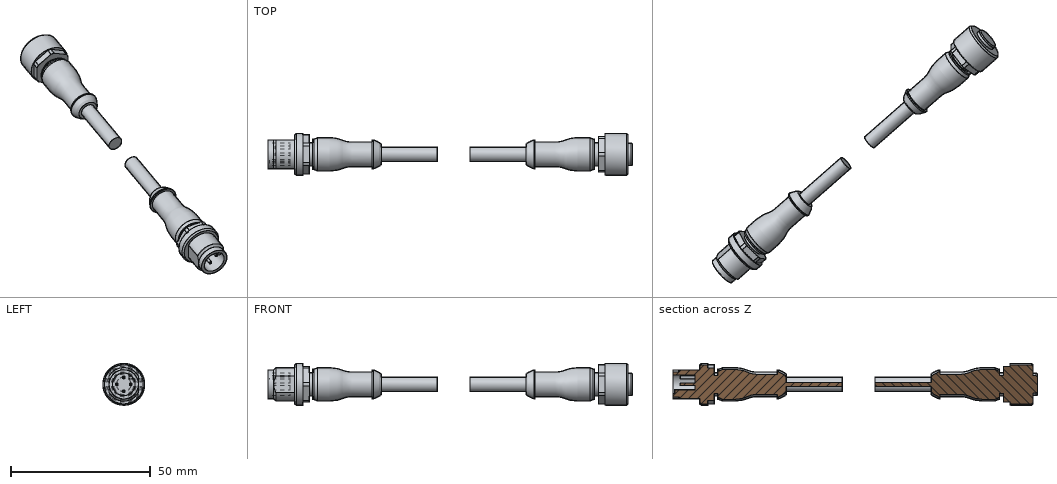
import cadquery as cq
import math

TOTAL_LENGTH = 130.5
CABLE_RADIUS = 2.6
PLUG_CABLE_END = 60.7
SOCKET_CABLE_END = 72.3

GRIP_LENGTH = 24.5
GRIP_RADIUS = 6.0
GRIP_FACE_RADIUS = 5.5
GRIP_LIP_LENGTH = 0.5
GRIP_NOSE_LENGTH = 1.7
TAPER_START = 6.1
TAPER_CONE_START = 10.0
TAPER_CONE_END = 11.0
TAPER_END = 14.0
TAPER_ANGLE_DEGREES = 20
TAPER_ANGLE = math.radians(TAPER_ANGLE_DEGREES)
COLLAR_START = 21.3
COLLAR_END = 21.8
COLLAR_RADIUS = 5.2
COLLAR_SHOULDER = 23.8
COLLAR_SHOULDER_RADIUS = 4.3
COLLAR_TAIL_RADIUS = 3.7

CONVEX_LENGTH = TAPER_CONE_START - TAPER_START
CONVEX_DROP = CONVEX_LENGTH * math.tan(TAPER_ANGLE / 2)
CONVEX_ARC_RADIUS = CONVEX_LENGTH / math.sin(TAPER_ANGLE)
CONCAVE_LENGTH = TAPER_END - TAPER_CONE_END
CONCAVE_DROP = CONCAVE_LENGTH * math.tan(TAPER_ANGLE / 2)
CONCAVE_ARC_RADIUS = CONCAVE_LENGTH / math.sin(TAPER_ANGLE)
CONE_DROP = (TAPER_CONE_END - TAPER_CONE_START) * math.tan(TAPER_ANGLE)
WAIST_RADIUS = GRIP_RADIUS - CONVEX_DROP - CONE_DROP - CONCAVE_DROP

NECK_RADIUS = 4.2
HEX_LENGTH = 2.3
HEX_FLAT_DISTANCE = 12.8
HEX_CORNER_RADIUS = 7.0

RIM_DIAMETER = 15.0
RIM_RADIUS = RIM_DIAMETER / 2
RIM_BEVEL_LENGTH = 0.7
RIM_BEVEL_DEPTH = 0.5

NOSE_LENGTH = 2.1
NOSE_RADIUS = 5.2
BARREL_CONE_END = 2.9
BARREL_RADIUS = 6.0
FLANGE_START = 9.5
FLANGE_END = 12.5
PLUG_GRIP_START = 16.0
BORE_RADIUS = 4.0
BORE_DEPTH = 7.8
PIN_RADIUS = 0.5
PIN_COUNT = 4
PIN_CIRCLE_RADIUS = 2.5
PIN_TIP_RECESS = 2.5
PIN_TIP_LENGTH = 0.3
PIN_TIP_RADIUS = 0.3
KEY_RADIUS = 0.7
KEY_DISTANCE = 3.5
KEY_ANGLE = 45.0
KEY_RECESS = 0.7

NUT_START = 120.6
NUT_END = 128.9
NUT_BACK_BEVEL_LENGTH = 0.4
NUT_BACK_BEVEL_DEPTH = 0.07
SOCKET_GRIP_START = 116.9
INSERT_RADIUS = 4.0
INSERT_BEVEL_LENGTH = 0.5
INSERT_BEVEL_DEPTH = 0.3


def cylinder(start, end, radius, y=0.0, z=0.0):
    """Cylinder along X between two X positions."""
    return cq.Workplane("YZ", origin=(start, y, z)).circle(radius).extrude(end - start)


def cone(start, end, start_radius, end_radius):
    """Truncated cone about the X axis."""
    outline = [(start, 0), (start, start_radius), (end, end_radius), (end, 0)]
    return cq.Workplane("XY").polyline(outline).close().revolve(360, (0, 0, 0), (1, 0, 0))


def hexagon(start, corner_angle):
    """Hexagon with rounded corners; corner_angle is 0 for corners on Y, 90 for corners on Z."""
    corner_diameter = HEX_FLAT_DISTANCE / math.cos(math.pi / 6)
    prism = cq.Workplane("YZ", origin=(start, 0, 0)).polygon(6, corner_diameter).extrude(HEX_LENGTH)
    prism = prism.rotate((0, 0, 0), (1, 0, 0), corner_angle)
    return prism.intersect(cylinder(start, start + HEX_LENGTH, HEX_CORNER_RADIUS))


def grip(start, direction):
    """Turned grip whose front face is at start; direction is +1 or -1 along X towards the cable."""

    def at(distance, radius):
        return (start + direction * distance, radius)

    convex_middle = at(
        TAPER_START + CONVEX_ARC_RADIUS * math.sin(TAPER_ANGLE / 2),
        GRIP_RADIUS - CONVEX_ARC_RADIUS * (1 - math.cos(TAPER_ANGLE / 2)),
    )
    concave_middle = at(
        TAPER_END - CONCAVE_ARC_RADIUS * math.sin(TAPER_ANGLE / 2),
        WAIST_RADIUS + CONCAVE_ARC_RADIUS * (1 - math.cos(TAPER_ANGLE / 2)),
    )
    outline = (
        cq.Workplane("XY")
        .moveTo(*at(0, 0))
        .lineTo(*at(0, GRIP_FACE_RADIUS))
        .lineTo(*at(GRIP_LIP_LENGTH, GRIP_FACE_RADIUS))
        .lineTo(*at(GRIP_NOSE_LENGTH, GRIP_RADIUS))
        .lineTo(*at(TAPER_START, GRIP_RADIUS))
        .threePointArc(convex_middle, at(TAPER_CONE_START, GRIP_RADIUS - CONVEX_DROP))
        .lineTo(*at(TAPER_CONE_END, WAIST_RADIUS + CONCAVE_DROP))
        .threePointArc(concave_middle, at(TAPER_END, WAIST_RADIUS))
        .lineTo(*at(COLLAR_START, WAIST_RADIUS))
        .lineTo(*at(COLLAR_START, COLLAR_RADIUS))
        .lineTo(*at(COLLAR_END, COLLAR_RADIUS))
        .lineTo(*at(COLLAR_SHOULDER, COLLAR_SHOULDER_RADIUS))
        .lineTo(*at(GRIP_LENGTH, COLLAR_TAIL_RADIUS))
        .lineTo(*at(GRIP_LENGTH, 0))
        .close()
    )
    return outline.revolve(360, (0, 0, 0), (1, 0, 0))


def plug_barrel():
    """Nose and barrel; flats on the Y sides bring the barrel down to the nose width."""
    nose = cylinder(0, NOSE_LENGTH, NOSE_RADIUS)
    barrel = cone(NOSE_LENGTH, BARREL_CONE_END, NOSE_RADIUS, BARREL_RADIUS)
    barrel = barrel.union(cylinder(BARREL_CONE_END, FLANGE_START, BARREL_RADIUS))
    flats = cq.Workplane("XY").box(FLANGE_START, 2 * NOSE_RADIUS, 2 * BARREL_RADIUS)
    barrel = barrel.intersect(flats.translate((FLANGE_START / 2, 0, 0)))
    return nose.union(barrel)


def keyed_bore():
    """Blind bore volume of the plug, less the round key that runs along its wall."""
    key_y = -KEY_DISTANCE * math.cos(math.radians(KEY_ANGLE))
    key_z = KEY_DISTANCE * math.sin(math.radians(KEY_ANGLE))
    key = cylinder(KEY_RECESS, BORE_DEPTH, KEY_RADIUS, key_y, key_z)
    return cylinder(0, BORE_DEPTH, BORE_RADIUS).cut(key)


def contact_pin(turn):
    """Contact pin with a bevelled tip, standing on the floor of the bore."""
    shank_start = PIN_TIP_RECESS + PIN_TIP_LENGTH
    pin = cone(PIN_TIP_RECESS, shank_start, PIN_TIP_RADIUS, PIN_RADIUS)
    pin = pin.union(cylinder(shank_start, BORE_DEPTH, PIN_RADIUS))
    pin_y = PIN_CIRCLE_RADIUS * math.cos(turn)
    pin_z = PIN_CIRCLE_RADIUS * math.sin(turn)
    return pin.translate((0, pin_y, pin_z))


def plug_body():
    """Plug end with its pins, grip and cable, as one solid."""
    hex_end = FLANGE_END + HEX_LENGTH
    bevel_end = FLANGE_START + RIM_BEVEL_LENGTH
    body = plug_barrel()
    body = body.union(cone(FLANGE_START, bevel_end, RIM_RADIUS - RIM_BEVEL_DEPTH, RIM_RADIUS))
    body = body.union(cylinder(bevel_end, FLANGE_END, RIM_RADIUS))
    body = body.union(hexagon(FLANGE_END, 0))
    body = body.union(cylinder(hex_end, PLUG_GRIP_START, NECK_RADIUS))
    body = body.union(grip(PLUG_GRIP_START, 1))
    body = body.union(cylinder(PLUG_GRIP_START + GRIP_LENGTH, PLUG_CABLE_END, CABLE_RADIUS))
    body = body.cut(keyed_bore())
    for i in range(PIN_COUNT):
        body = body.union(contact_pin(2 * math.pi * i / PIN_COUNT))
    return body


def socket_body():
    """Socket end with its coupling nut, grip and cable, as one solid."""
    hex_start = NUT_START - HEX_LENGTH
    back_bevel_end = NUT_START + NUT_BACK_BEVEL_LENGTH
    bevel_start = NUT_END - RIM_BEVEL_LENGTH
    insert_bevel_start = TOTAL_LENGTH - INSERT_BEVEL_LENGTH
    body = cylinder(SOCKET_CABLE_END, SOCKET_GRIP_START - GRIP_LENGTH, CABLE_RADIUS)
    body = body.union(grip(SOCKET_GRIP_START, -1))
    body = body.union(cylinder(SOCKET_GRIP_START, hex_start, NECK_RADIUS))
    body = body.union(hexagon(hex_start, 90))
    back_radius = RIM_RADIUS - NUT_BACK_BEVEL_DEPTH
    body = body.union(cone(NUT_START, back_bevel_end, back_radius, RIM_RADIUS))
    body = body.union(cylinder(back_bevel_end, bevel_start, RIM_RADIUS))
    body = body.union(cone(bevel_start, NUT_END, RIM_RADIUS, RIM_RADIUS - RIM_BEVEL_DEPTH))
    body = body.union(cylinder(NUT_END, insert_bevel_start, INSERT_RADIUS))
    tip_radius = INSERT_RADIUS - INSERT_BEVEL_DEPTH
    body = body.union(cone(insert_bevel_start, TOTAL_LENGTH, INSERT_RADIUS, tip_radius))
    return body


plug = plug_body()
socket = socket_body()
result = cq.Compound.makeCompound([plug.val(), socket.val()])